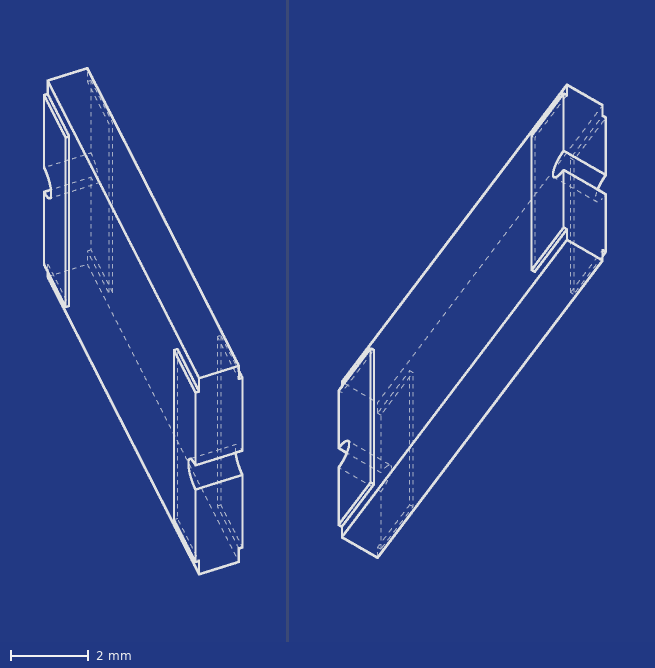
import cadquery as cq

body_length = 10.5
body_height = 8.1
overall_thickness = 1.3

pad_thickness = 0.1
pad_length = 1.5
pad_height = 7.0

notch_radius = 0.5

body_thickness = overall_thickness - 2 * pad_thickness
end_x = body_length / 2
pad_center_x = end_x - pad_length / 2


def make_body():
    """Rectangular plate standing in the XZ plane."""
    return cq.Workplane("XY").box(body_length, body_thickness, body_height)


def make_pad_pair(side):
    """Front and back pads at one end, as one block passing through the body."""
    pads = cq.Workplane("XY").box(pad_length, overall_thickness, pad_height)
    return pads.translate((side * pad_center_x, 0, 0))


def make_notch(side):
    """Cylinder along Y, centered on the end face, that cuts the half-round notch."""
    cylinder = cq.Workplane("XZ").circle(notch_radius).extrude(overall_thickness / 2, both=True)
    return cylinder.translate((side * end_x, 0, 0))


result = make_body()
for end_side in (-1, 1):
    result = result.union(make_pad_pair(end_side))
    result = result.cut(make_notch(end_side))